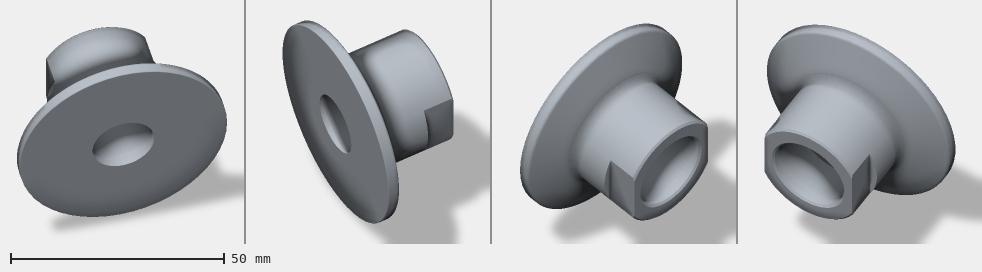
import cadquery as cq
import math

length = 25.0
flange_diameter = 50.5

rim_width = 2.85
cone_angle = 20.0
rim_front_fillet = 0.8
rim_back_fillet = 0.2

hub_diameter = 28.0
hub_chamfer = 0.5
hub_fillet = 2.0

across_flats = 24.0
flat_length = 8.0

through_diameter = 15.0
socket_diameter = 19.05
socket_depth = 11.0
relief_diameter = 22.0
relief_length = 2.0
socket_chamfer = 0.5

flange_radius = flange_diameter / 2
hub_radius = hub_diameter / 2
cone_length = (flange_radius - hub_radius) * math.tan(math.radians(cone_angle))
rim_start_x = length - rim_width
cone_start_x = rim_start_x - cone_length


def circle_edge_at(x, radius):
    """Selector for the circular edges at a station along the axis."""
    margin = 0.01
    reach = radius + margin
    return cq.selectors.BoxSelector(
        (x - margin, -reach, -reach), (x + margin, reach, reach), boundingbox=True
    )


def turned_body():
    """Hub, cone and rim revolved about the X axis, with their edges broken."""
    body = (
        cq.Workplane("XY")
        .moveTo(0, 0)
        .lineTo(0, hub_radius)
        .lineTo(cone_start_x, hub_radius)
        .lineTo(rim_start_x, flange_radius)
        .lineTo(length, flange_radius)
        .lineTo(length, 0)
        .close()
        .revolve(360, (0, 0, 0), (1, 0, 0))
    )
    body = body.edges(circle_edge_at(0, hub_radius)).chamfer(hub_chamfer)
    body = body.edges(circle_edge_at(cone_start_x, hub_radius)).fillet(hub_fillet)
    body = body.edges(circle_edge_at(rim_start_x, flange_radius)).fillet(rim_front_fillet)
    return body.edges(circle_edge_at(length, flange_radius)).fillet(rim_back_fillet)


def wrench_flat_cutter(side):
    """Block that cuts one flat on the hub; side is +1 or -1 along Y."""
    flat_depth = hub_radius - across_flats / 2
    center_y = side * (across_flats / 2 + flat_depth / 2)
    return (
        cq.Workplane("XY")
        .box(flat_length, flat_depth, hub_diameter)
        .translate((flat_length / 2, center_y, 0))
    )


def bore_cutter():
    """Through bore with a chamfered socket at the hub end and a relief groove behind it."""
    through_radius = through_diameter / 2
    socket_radius = socket_diameter / 2
    relief_radius = relief_diameter / 2
    relief_end_x = socket_depth + relief_length
    return (
        cq.Workplane("XY")
        .moveTo(0, 0)
        .lineTo(0, socket_radius + socket_chamfer)
        .lineTo(socket_chamfer, socket_radius)
        .lineTo(socket_depth, socket_radius)
        .lineTo(socket_depth, relief_radius)
        .lineTo(relief_end_x, relief_radius)
        .lineTo(relief_end_x, through_radius)
        .lineTo(length, through_radius)
        .lineTo(length, 0)
        .close()
        .revolve(360, (0, 0, 0), (1, 0, 0))
    )


result = turned_body()
for flat_side in (1, -1):
    result = result.cut(wrench_flat_cutter(flat_side))
result = result.cut(bore_cutter())